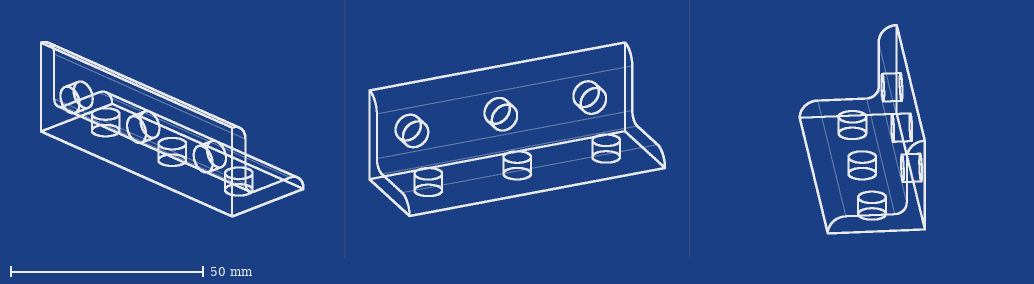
import cadquery as cq

length = 73.0
leg = 25.4
thickness = 4.75
toe_radius = thickness
root_radius = 3.15

hole_diameter = 7.2
hole_pitch = 25.4
hole_offset = leg / 2
hole_positions = [(i * hole_pitch, hole_offset) for i in (-1, 0, 1)]


def angle_bar():
    """Extrude the L section, with rounded toes and a filleted root."""
    toe_start = leg - toe_radius
    root_end = thickness + root_radius
    section = (
        cq.Workplane("YZ", origin=(-length / 2, 0, 0))
        .lineTo(leg, 0)
        .radiusArc((toe_start, thickness), -toe_radius)
        .lineTo(root_end, thickness)
        .radiusArc((thickness, root_end), root_radius)
        .lineTo(thickness, toe_start)
        .radiusArc((0, leg), -toe_radius)
        .close()
    )
    return section.extrude(length)


def hole_cutters(plane, depth):
    """Cylinders that pass through one leg only."""
    return (
        cq.Workplane(plane)
        .pushPoints(hole_positions)
        .circle(hole_diameter / 2)
        .extrude(depth)
    )


flat_leg_holes = hole_cutters("XY", thickness)
upright_leg_holes = hole_cutters("XZ", -thickness)

result = angle_bar().cut(flat_leg_holes).cut(upright_leg_holes)